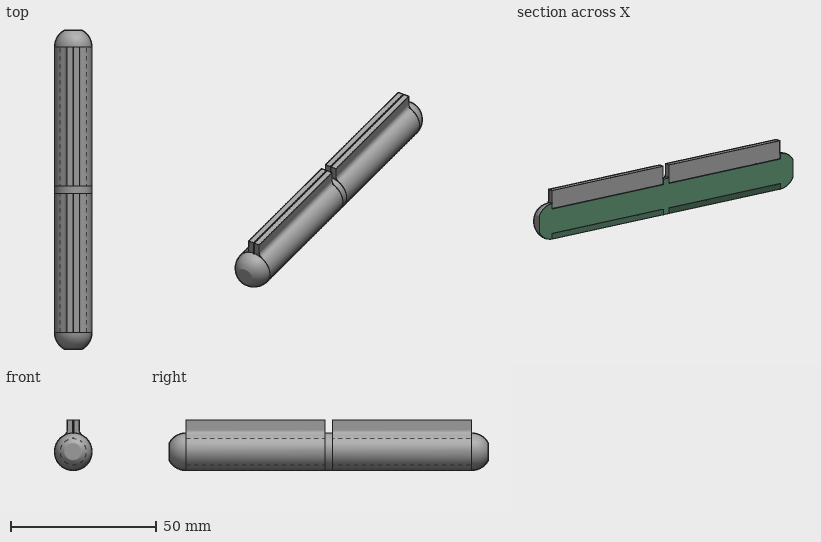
import cadquery as cq
import math

overall_length = 110.0
barrel_diameter = 13.0
sheet_thickness = 2.0
slit_width = 0.3
leg_top = 11.0
leaf_length = 48.0
collar_width = 2.5
bend_radius = 2.0
head_edge_radius = 0.8

barrel_radius = barrel_diameter / 2
pin_radius = barrel_radius - sheet_thickness
leg_half_width = sheet_thickness + slit_width / 2
collar_half_width = collar_width / 2
leaf_end = collar_half_width + leaf_length
pin_end = overall_length / 2
head_length = pin_end - leaf_end


def make_leaf(start_y):
    """One rolled leaf: a barrel with two parallel legs, running from start_y toward +Y."""
    bend_x = leg_half_width + bend_radius
    center_distance = barrel_radius + bend_radius
    bend_z = math.sqrt(center_distance**2 - bend_x**2)
    tangent_x = bend_x * barrel_radius / center_distance
    tangent_z = bend_z * barrel_radius / center_distance

    mid_angle = math.atan2(bend_z, bend_x) / 2
    mid_x = bend_x - bend_radius * math.cos(mid_angle)
    mid_z = bend_z - bend_radius * math.sin(mid_angle)

    plane = cq.Workplane("XZ", origin=(0, start_y, 0))
    outside = (
        plane.moveTo(leg_half_width, leg_top)
        .lineTo(leg_half_width, bend_z)
        .threePointArc((mid_x, mid_z), (tangent_x, tangent_z))
        .threePointArc((0, -barrel_radius), (-tangent_x, tangent_z))
        .threePointArc((-mid_x, mid_z), (-leg_half_width, bend_z))
        .lineTo(-leg_half_width, leg_top)
        .close()
        .extrude(-leaf_length)
    )
    bore = plane.circle(pin_radius).extrude(-leaf_length)
    slit = plane.center(0, leg_top / 2).rect(slit_width, leg_top).extrude(-leaf_length)
    return outside.cut(bore).cut(slit).solids().val()


def make_pin():
    """Pin with a collar in the middle and a domed, flat-ended head at each end."""
    flat_radius = math.sqrt(barrel_radius**2 - head_length**2)
    mid_angle = math.atan2(head_length, flat_radius) / 2
    dome_mid_radius = barrel_radius * math.cos(mid_angle)
    dome_mid_y = leaf_end + barrel_radius * math.sin(mid_angle)

    turned = (
        cq.Workplane("YZ")
        .moveTo(-pin_end, 0)
        .lineTo(-pin_end, flat_radius)
        .threePointArc((-dome_mid_y, dome_mid_radius), (-leaf_end, barrel_radius))
        .lineTo(-leaf_end, pin_radius)
        .lineTo(-collar_half_width, pin_radius)
        .lineTo(-collar_half_width, barrel_radius)
        .lineTo(collar_half_width, barrel_radius)
        .lineTo(collar_half_width, pin_radius)
        .lineTo(leaf_end, pin_radius)
        .lineTo(leaf_end, barrel_radius)
        .threePointArc((dome_mid_y, dome_mid_radius), (pin_end, flat_radius))
        .lineTo(pin_end, 0)
        .close()
        .revolve(360, (0, 0, 0), (1, 0, 0))
    )
    return turned.faces("<Y or >Y").edges().fillet(head_edge_radius).solids().val()


leaves = [make_leaf(start_y) for start_y in (-leaf_end, collar_half_width)]
pin = make_pin()

result = cq.Compound.makeCompound([pin, *leaves])